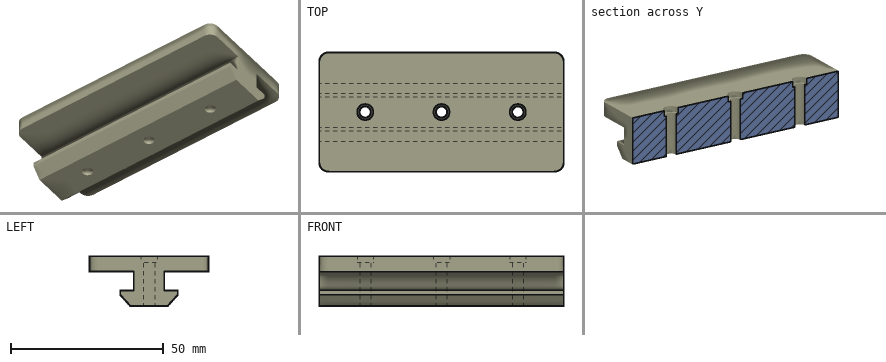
import cadquery as cq

length = 80.0
plate_width = 39.0
plate_thickness = 5.0
corner_radius = 3.0

total_height = 16.3
neck_width = 10.0
neck_height = 6.2
head_width = 19.0
head_side_height = 1.4
foot_width = 12.2

hole_count = 3
hole_spacing = 25.0
hole_diameter = 3.6
counterbore_diameter = 5.3
counterbore_depth = 2.0

plate_bottom = total_height - plate_thickness
head_top = plate_bottom - neck_height
chamfer_top = head_top - head_side_height


def make_plate():
    """Rectangular plate with rounded vertical corners."""
    plate = cq.Workplane("XY").workplane(offset=plate_bottom).rect(length, plate_width)
    return plate.extrude(plate_thickness).edges("|Z").fillet(corner_radius)


def make_rail():
    """Neck and tapered head, running the full length along X."""
    half_profile = [
        (0, 0),
        (foot_width / 2, 0),
        (head_width / 2, chamfer_top),
        (head_width / 2, head_top),
        (neck_width / 2, head_top),
        (neck_width / 2, plate_bottom),
        (0, plate_bottom),
    ]
    profile = cq.Workplane("YZ").polyline(half_profile).mirrorY()
    return profile.extrude(length / 2, both=True)


def cut_holes(body):
    """Row of through holes along X, counterbored from the top face."""
    return (
        body.faces(">Z")
        .workplane(centerOption="CenterOfBoundBox")
        .rarray(hole_spacing, 0.8, hole_count, 1)
        .cboreHole(hole_diameter, counterbore_diameter, counterbore_depth)
    )


result = cut_holes(make_plate().union(make_rail()))